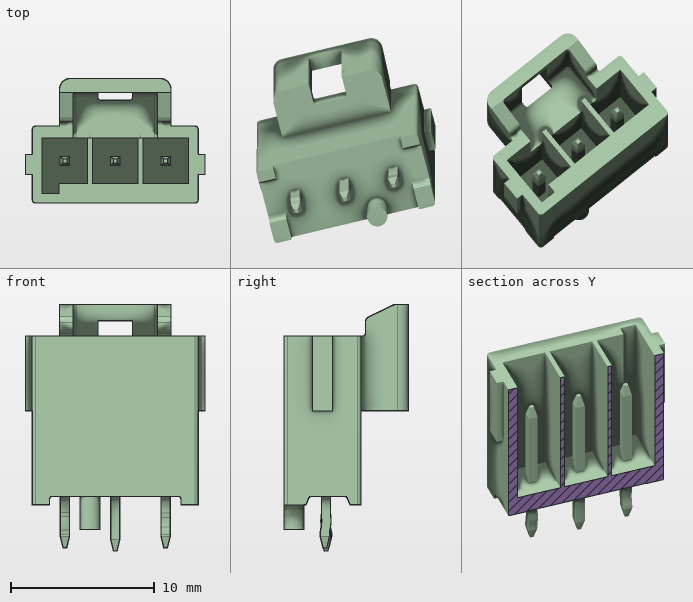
import cadquery as cq
import math


body_width = 11.55
body_depth = 5.37
body_height = 11.75
body_edge_radius = 0.24

pitch = 3.5
cavity_size = 3.17
cavity_front = 1.37
cavity_back = cavity_front + cavity_size
cavity_floor = 2.0
row_positions = [-pitch, 0, pitch]
key_slot_width = 1.17
key_slot_front = 0.69

overall_width = 12.5
rib_depth = 1.4
rib_bottom = 6.53

latch_width = 7.77
latch_back = 8.68
latch_top = 13.95
latch_bottom = rib_bottom
latch_wall = 1.0
latch_edge_radius = 0.77
latch_inner_face = latch_back - latch_wall
arm_front = 5.66
arm_corner_height = 12.97
arm_tip_radius = 0.45
arm_root_radius = 0.17

opening_width = 5.9
opening_floor = 7.84
opening_radius = 0.22

window_width = 2.37
window_top = 12.8
window_front = 7.17
window_edge_radius = 0.15

channel_height = 0.58
cross_channel_width = 9.1
cross_channel_radius = 0.14
long_channel_centre = 3.07
long_channel_bottom_width = 3.05
long_channel_top_width = 2.57
long_channel_radius = 0.17

peg_diameter = 1.4
peg_bottom = -1.72

pin_size = 0.65
pin_y = 2.93
pin_top = 8.58
pin_point_size = 0.25
pin_point_length = 0.8
straight_pin_bottom = -3.2
kinked_pin_bottom = -2.98
first_kink_heights = [-0.51, -0.8, -1.75, -2.05]
last_kink_heights = [-0.57, -0.85, -1.55, -2.05]
kink_leans = [0, 8, -15, 0]


def block(x_range, y_range, z_range):
    """Box between the given limits on each axis."""
    lows, highs = zip(x_range, y_range, z_range)
    sizes = [high - low for low, high in zip(lows, highs)]
    return cq.Workplane("XY").box(*sizes, centered=False).translate(lows)


def centred_block(width, y_range, z_range):
    """Box that is symmetric about X = 0."""
    return block((-width / 2, width / 2), y_range, z_range)


def make_housing():
    housing = centred_block(body_width, (0, body_depth), (0, body_height))
    housing = housing.edges("|Z").fillet(body_edge_radius)
    rib_front = (body_depth - rib_depth) / 2
    ribs = centred_block(overall_width, (rib_front, rib_front + rib_depth), (rib_bottom, body_height))
    return housing.union(ribs)


def make_latch():
    """Bracket outline in the YZ plane, carried across its width; it reaches into the back wall."""
    outline = [
        (cavity_back, latch_bottom),
        (latch_back, latch_bottom),
        (latch_back, latch_top),
        (latch_inner_face, latch_top),
        (arm_front, arm_corner_height),
        (arm_front, body_height),
        (cavity_back, body_height),
    ]
    latch = cq.Workplane("YZ").polyline(outline).close().extrude(latch_width / 2, both=True)
    latch = latch.edges("|Z and >Y").fillet(latch_edge_radius)
    arm_tip = cq.selectors.NearestToPointSelector((0, arm_front, arm_corner_height))
    latch = latch.edges(arm_tip).fillet(arm_tip_radius)
    arm_root = cq.selectors.NearestToPointSelector((0, arm_front, body_height))
    return latch.edges(arm_root).fillet(arm_root_radius)


def latch_opening():
    """Space between the latch arms, open at the top and towards the cavities."""
    space = centred_block(opening_width, (cavity_back, latch_inner_face), (opening_floor, latch_top))
    return space.edges("(|Z and >Y) or (<Z and (not <Y))").fillet(opening_radius)


def latch_window():
    window = centred_block(window_width, (window_front, latch_back), (latch_bottom, window_top))
    return window.edges("|Z and <Y").fillet(window_edge_radius)


def cavities():
    left_side = -pitch - cavity_size / 2
    depth = (cavity_floor, body_height)
    space = block((left_side, left_side + key_slot_width), (key_slot_front, cavity_back), depth)
    for x in row_positions:
        space = space.union(
            block((x - cavity_size / 2, x + cavity_size / 2), (cavity_front, cavity_back), depth)
        )
    return space


def foot_channels():
    cross = centred_block(cross_channel_width, (0, body_depth), (0, channel_height))
    cross = cross.edges("|Y and >Z").fillet(cross_channel_radius)
    long_outline = [
        (long_channel_centre - long_channel_bottom_width / 2, 0),
        (long_channel_centre + long_channel_bottom_width / 2, 0),
        (long_channel_centre + long_channel_top_width / 2, channel_height),
        (long_channel_centre - long_channel_top_width / 2, channel_height),
    ]
    long = cq.Workplane("YZ").polyline(long_outline).close().extrude(body_width / 2, both=True)
    long = long.edges("|X and >Z").fillet(long_channel_radius)
    return cross.union(long)


def make_peg():
    """Round peg between the first two pins, flush with the front face."""
    peg = cq.Workplane("XY").circle(peg_diameter / 2).extrude(channel_height - peg_bottom)
    return peg.translate((-pitch / 2, peg_diameter / 2, peg_bottom))


def pin_point(y, base, tip):
    """Tapered square end of a pin, from its full section at base to its small end at tip."""
    point = cq.Workplane("XY", origin=(0, y, base)).rect(pin_size, pin_size)
    return point.workplane(offset=tip - base).rect(pin_point_size, pin_point_size).loft()


def kink_path(side, heights):
    """Arc ends (y, z) on the centreline of a kinked tail, going down; side is the sign of its first lean."""
    y = pin_y
    path = [(y, heights[0])]
    for i in range(1, len(heights)):
        chord_lean = math.radians((kink_leans[i - 1] + kink_leans[i]) / 2)
        y += side * (heights[i - 1] - heights[i]) * math.tan(chord_lean)
        path.append((y, heights[i]))
    return path


def make_pin(bottom, path):
    """Square pin pointed at both ends, straight except where its tail follows the path."""
    half = pin_size / 2
    shank_top = pin_top - pin_point_length
    shank_bottom = bottom + pin_point_length
    tail_y = path[-1][0]
    shank = cq.Workplane("YZ", origin=(-half, 0, 0))
    shank = shank.moveTo(pin_y - half, shank_top).lineTo(pin_y - half, path[0][1])
    for y, z in path[1:]:
        shank = shank.tangentArcPoint((y - half, z), relative=False)
    shank = shank.lineTo(tail_y - half, shank_bottom).lineTo(tail_y + half, shank_bottom)
    shank = shank.lineTo(tail_y + half, path[-1][1])
    for y, z in reversed(path[:-1]):
        shank = shank.tangentArcPoint((y + half, z), relative=False)
    shank = shank.lineTo(pin_y + half, shank_top).close().extrude(pin_size)
    upper_point = pin_point(pin_y, shank_top, pin_top)
    return shank.union(upper_point).union(pin_point(tail_y, shank_bottom, bottom))


shell = make_housing().union(make_latch())
for space in (cavities(), latch_opening(), latch_window(), foot_channels()):
    shell = shell.cut(space)

pins = [
    make_pin(kinked_pin_bottom, kink_path(-1, first_kink_heights)),
    make_pin(straight_pin_bottom, [(pin_y, 0)]),
    make_pin(kinked_pin_bottom, kink_path(1, last_kink_heights)),
]

result = shell.union(make_peg())
for x, pin in zip(row_positions, pins):
    result = result.union(pin.translate((x, 0, 0)))